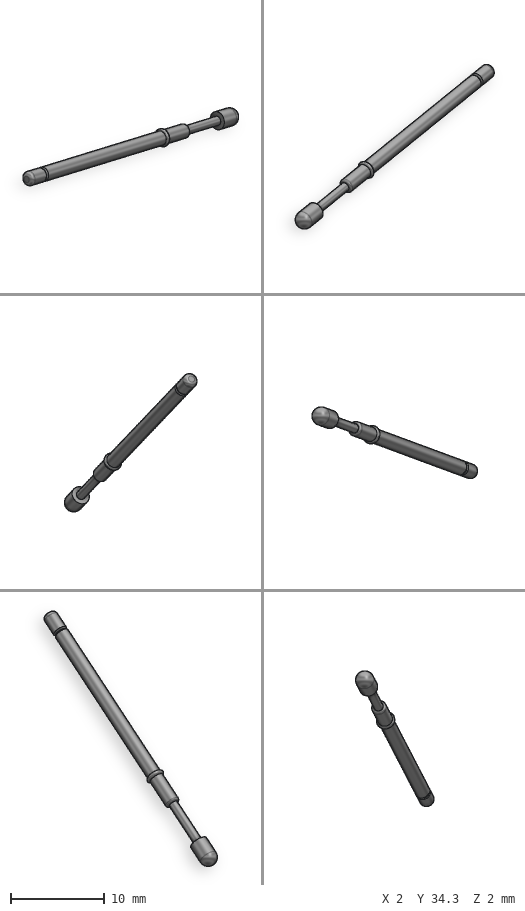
import cadquery as cq
import math

total_length = 34.3

head_radius = 1.0
head_length = 3.0
stem_radius = 0.5
stem_length = 5.3

barrel_radius = 0.8
mouth_round_radius = 0.25
rear_round_radius = 0.45

ring_radius = 1.0
ring_width = 0.5
ring_setback = 3.5

groove_position = 2.5
groove_width = 0.35
groove_depth = 0.15

diagonal = math.sqrt(0.5)

head_back = total_length - head_length
dome_start = total_length - head_radius
barrel_length = head_back - stem_length
ring_front = barrel_length - ring_setback
ring_back = ring_front - ring_width


def barrel_profile():
    """Half section of the barrel, with X as the radius and Y as the axis."""
    round_center_radius = barrel_radius - rear_round_radius
    round_middle = (
        round_center_radius + rear_round_radius * diagonal,
        rear_round_radius * (1 - diagonal),
    )
    mouth_middle = (
        barrel_radius - mouth_round_radius * (1 - diagonal),
        barrel_length - mouth_round_radius * (1 - diagonal),
    )
    groove_start = groove_position - groove_width / 2
    groove_end = groove_position + groove_width / 2
    return (
        cq.Workplane("XY")
        .moveTo(0, 0)
        .lineTo(round_center_radius, 0)
        .threePointArc(round_middle, (barrel_radius, rear_round_radius))
        .lineTo(barrel_radius, groove_start)
        .lineTo(barrel_radius - groove_depth, groove_position)
        .lineTo(barrel_radius, groove_end)
        .lineTo(barrel_radius, barrel_length - mouth_round_radius)
        .threePointArc(mouth_middle, (barrel_radius - mouth_round_radius, barrel_length))
        .lineTo(0, barrel_length)
        .close()
    )


def ring_profile():
    """Half section of the press ring, reaching in to the axis."""
    return (
        cq.Workplane("XY")
        .moveTo(0, ring_back)
        .lineTo(barrel_radius, ring_back)
        .threePointArc(
            (ring_radius, (ring_back + ring_front) / 2),
            (barrel_radius, ring_front),
        )
        .lineTo(0, ring_front)
        .close()
    )


def plunger_profile():
    """Half section of the stem and the domed head."""
    dome_middle = (head_radius * diagonal, dome_start + head_radius * diagonal)
    return (
        cq.Workplane("XY")
        .moveTo(0, ring_front)
        .lineTo(stem_radius, ring_front)
        .lineTo(stem_radius, head_back)
        .lineTo(head_radius, head_back)
        .lineTo(head_radius, dome_start)
        .threePointArc(dome_middle, (0, total_length))
        .close()
    )


def turn(profile):
    """Revolve a half section about the Y axis."""
    return profile.revolve(360, (0, 0, 0), (0, 1, 0))


result = turn(barrel_profile()).union(turn(ring_profile())).union(turn(plunger_profile()))